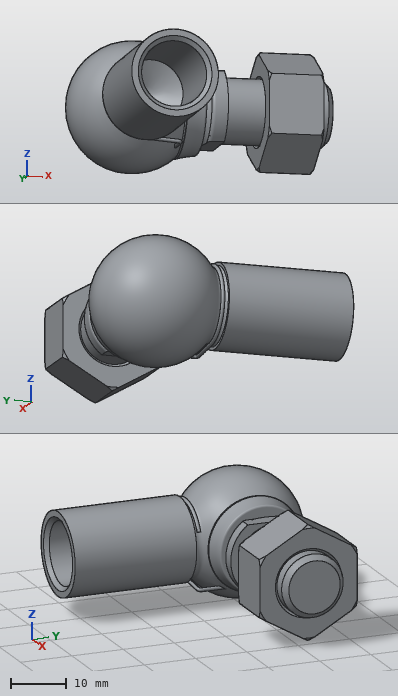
import cadquery as cq
import math


housing_radius = 12.0
mouth_radius = 17.8 / 2
mouth_x = math.sqrt(housing_radius**2 - mouth_radius**2)
tube_radius = 16.0 / 2
tube_end = 35.0
tube_start = 11.3
neck_start = 9.4
neck_start_radius = math.sqrt(housing_radius**2 - neck_start**2)
neck_radius = 7.0
neck_end_radius = 7.4
bore_radius = 12.0 / 2
bore_depth = 20.0
bore_tip_angle = 120.0
bore_chamfer_radius = 6.8
bore_chamfer_depth = bore_chamfer_radius - bore_radius

ball_radius = 8.0
stud_neck_radius = 5.75
collar_radius = 8.0
collar_start = 13.2
collar_end = 16.0
collar_flare_radius = 2.4
collar_flare_height = 1.15
collar_round = 0.6
collar_flat_width = 13.0
shank_radius = 12.0 / 2
shank_end = 36.0
shank_chamfer = 1.0

nut_start = 23.2
nut_height = 10.1
nut_width = 19.0
nut_corner_radius = nut_width / math.sqrt(3)
nut_face_radius = 10.35
nut_chamfer_depth = 0.45
nut_countersink_radius = 6.5
nut_countersink_depth = nut_countersink_radius - shank_radius

cap_end = 12.0
cap_base_radius = 9.1
cap_tip_radius = 16.8 / 2
cap_tip_round = 0.4
cap_flank_sag = 0.08

ring_wire_radius = 0.6 / 2
ring_pitch_radius = 8.8

clip_wire_radius = 0.7 / 2
clip_radius = 7.3
clip_y = -10.3
clip_open_angle = math.radians(25.0)
clip_arm_angle = math.radians(265.5)
clip_arm_x = 6.7
clip_bend_radius = 0.5
clip_tip_y = -4.0


def revolve_about_x(profile):
    """Turn a closed XY profile, drawn as (x, radius), about the X axis."""
    return profile.close().revolve(360, (0, 0, 0), (1, 0, 0))


def revolve_about_y(profile):
    """Turn a closed XY profile, drawn as (radius, y), about the Y axis."""
    return profile.close().revolve(360, (0, 0, 0), (0, 1, 0))


def quarter_round(radius):
    """Offset from the corner of a quarter round to the middle of its arc, along each side."""
    return radius * (1 - math.sqrt(0.5))


def make_ring():
    return cq.Workplane("XY").center(mouth_x, ring_pitch_radius).circle(ring_wire_radius).revolve(
        360, (0, -ring_pitch_radius, 0), (1, -ring_pitch_radius, 0)
    )


def make_clip():
    def on_circle(angle):
        return cq.Vector(clip_radius * math.cos(angle), clip_y, clip_radius * math.sin(angle))

    start = on_circle(clip_open_angle)
    middle = on_circle((clip_open_angle + clip_arm_angle) / 2)
    arm_start = on_circle(clip_arm_angle)
    arm_direction = cq.Vector(-math.sin(clip_arm_angle), 0, math.cos(clip_arm_angle))
    arm_length = (clip_arm_x - arm_start.x) / arm_direction.x
    corner = arm_start + arm_direction * arm_length
    inward = cq.Vector(0, 1, 0)
    bend_start = corner - arm_direction * clip_bend_radius
    bend_end = corner + inward * clip_bend_radius
    bend_middle = corner + (inward - arm_direction) * quarter_round(clip_bend_radius)
    tip = cq.Vector(corner.x, clip_tip_y, corner.z)

    path = cq.Wire.assembleEdges([
        cq.Edge.makeThreePointArc(start, middle, arm_start),
        cq.Edge.makeLine(arm_start, bend_start),
        cq.Edge.makeThreePointArc(bend_start, bend_middle, bend_end),
        cq.Edge.makeLine(bend_end, tip),
    ])
    start_direction = cq.Vector(-math.sin(clip_open_angle), 0, math.cos(clip_open_angle))
    section = cq.Workplane(cq.Plane(origin=start, xDir=inward, normal=start_direction))
    return section.circle(clip_wire_radius).sweep(path)


def make_housing(ring, clip):
    neck_middle = (neck_start + tube_start) / 2
    body = revolve_about_y(
        cq.Workplane("XY")
        .moveTo(0, housing_radius)
        .threePointArc((housing_radius, 0), (neck_start_radius, -neck_start))
        .threePointArc((neck_radius, -neck_middle), (neck_end_radius, -tube_start))
        .lineTo(tube_radius, -tube_start)
        .lineTo(tube_radius, -tube_end)
        .lineTo(0, -tube_end)
    )
    beyond_mouth = cq.Workplane("YZ", origin=(mouth_x, 0, 0)).rect(
        2 * housing_radius, 2 * housing_radius
    ).extrude(housing_radius)
    body = body.cut(beyond_mouth)

    ball_seat = cq.Workplane("XY").sphere(ball_radius)
    ball_entry = cq.Workplane("YZ").circle(ball_radius).extrude(mouth_x)

    bore_floor = -tube_end + bore_depth
    bore_tip = bore_floor + bore_radius / math.tan(math.radians(bore_tip_angle / 2))
    bore = revolve_about_y(
        cq.Workplane("XY")
        .moveTo(0, -tube_end)
        .lineTo(bore_chamfer_radius, -tube_end)
        .lineTo(bore_radius, -tube_end + bore_chamfer_depth)
        .lineTo(bore_radius, bore_floor)
        .lineTo(0, bore_tip)
    )
    return body.cut(ball_seat).cut(ball_entry).cut(bore).cut(ring).cut(clip)


def make_stud():
    neck_root_x = math.sqrt(ball_radius**2 - stud_neck_radius**2)
    flare_angle = math.acos(1 - collar_flare_height / collar_flare_radius)
    flare_start = collar_start - collar_flare_radius * math.sin(flare_angle)
    flare_middle = (
        flare_start + collar_flare_radius * math.sin(flare_angle / 2),
        stud_neck_radius + collar_flare_radius * (1 - math.cos(flare_angle / 2)),
    )
    round_mid = quarter_round(collar_round)
    stud = revolve_about_x(
        cq.Workplane("XY")
        .moveTo(-ball_radius, 0)
        .threePointArc((0, ball_radius), (neck_root_x, stud_neck_radius))
        .lineTo(flare_start, stud_neck_radius)
        .threePointArc(flare_middle, (collar_start, stud_neck_radius + collar_flare_height))
        .lineTo(collar_start, collar_radius - collar_round)
        .threePointArc(
            (collar_start + round_mid, collar_radius - round_mid),
            (collar_start + collar_round, collar_radius),
        )
        .lineTo(collar_end, collar_radius)
        .lineTo(collar_end, shank_radius)
        .lineTo(shank_end - shank_chamfer, shank_radius)
        .lineTo(shank_end, shank_radius - shank_chamfer)
        .lineTo(shank_end, 0)
    )
    collar_length = collar_end - cap_end
    for side in (1, -1):
        beyond_flat = cq.Workplane("XY").box(
            collar_length, 2 * collar_radius, collar_radius, centered=(False, True, True)
        ).translate((cap_end, 0, side * (collar_flat_width + collar_radius) / 2))
        stud = stud.cut(beyond_flat)
    return stud


def make_nut():
    nut_end = nut_start + nut_height
    hexagon = (
        cq.Workplane("YZ", origin=(nut_start, 0, 0))
        .transformed(rotate=(0, 0, 90))
        .polygon(6, 2 * nut_corner_radius)
        .extrude(nut_height)
    )
    chamfer_slope = (nut_corner_radius - nut_face_radius) / nut_chamfer_depth
    envelope_depth = 2 * nut_chamfer_depth
    envelope_radius = nut_face_radius + chamfer_slope * envelope_depth
    envelope = revolve_about_x(
        cq.Workplane("XY")
        .moveTo(nut_start, 0)
        .lineTo(nut_start, nut_face_radius)
        .lineTo(nut_start + envelope_depth, envelope_radius)
        .lineTo(nut_end - envelope_depth, envelope_radius)
        .lineTo(nut_end, nut_face_radius)
        .lineTo(nut_end, 0)
    )
    hole = revolve_about_x(
        cq.Workplane("XY")
        .moveTo(nut_start, 0)
        .lineTo(nut_start, nut_countersink_radius)
        .lineTo(nut_start + nut_countersink_depth, shank_radius)
        .lineTo(nut_end - nut_countersink_depth, shank_radius)
        .lineTo(nut_end, nut_countersink_radius)
        .lineTo(nut_end, 0)
    )
    return hexagon.intersect(envelope).cut(hole)


def make_cap(ring, stud):
    round_start_x = cap_end - cap_tip_round
    flank_middle = (
        (mouth_x + round_start_x) / 2,
        (cap_base_radius + cap_tip_radius) / 2 - cap_flank_sag,
    )
    round_mid = quarter_round(cap_tip_round)
    cap = revolve_about_x(
        cq.Workplane("XY")
        .moveTo(mouth_x, stud_neck_radius)
        .lineTo(mouth_x, cap_base_radius)
        .threePointArc(flank_middle, (round_start_x, cap_tip_radius))
        .threePointArc(
            (cap_end - round_mid, cap_tip_radius - round_mid),
            (cap_end, cap_tip_radius - cap_tip_round),
        )
        .lineTo(cap_end, stud_neck_radius)
    )
    return cap.cut(ring).cut(stud)


ring = make_ring()
clip = make_clip()
housing = make_housing(ring, clip)
stud = make_stud()
nut = make_nut()
cap = make_cap(ring, stud)

bodies = [housing, stud, nut, cap, ring, clip]
result = cq.Compound.makeCompound([body.solids().val() for body in bodies])